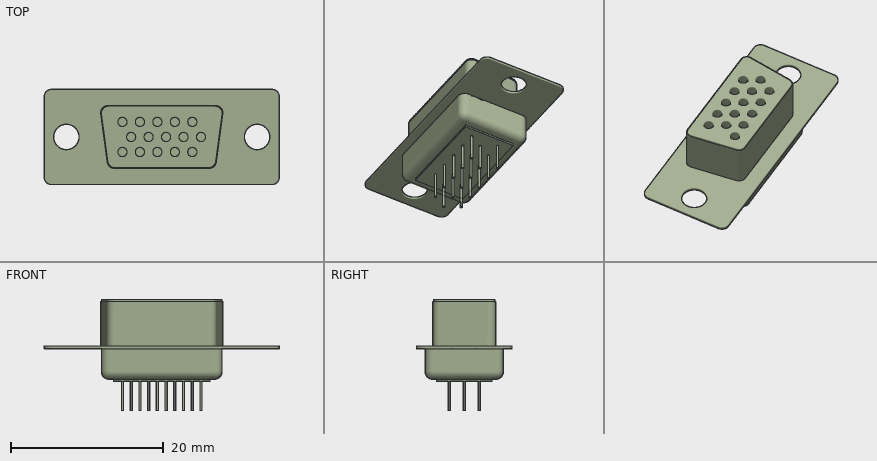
import cadquery as cq


flange_length = 30.8
flange_width = 12.5
flange_thickness = 0.4
flange_corner_radius = 1.0
mount_hole_diameter = 3.3
mount_hole_spacing = 24.98

edge_round = 0.1

shroud_height = 5.82
shroud_wall = 0.105
shroud_corner_radius = 1.0
shroud_wide_flat = 14.05
shroud_narrow_flat = 12.35
shroud_depth = 8.25

box_length = 15.8
box_width = 10.25
box_height = 3.97
box_corner_radius = 1.02
box_rim_radius = 1.0

insulator_protrusion = 0.28
plug_length = 12.7
plug_width = 7.3
plug_protrusion = 0.28

contacts_per_row = 5
contact_row_length = 9.15
contact_pitch = contact_row_length / (contacts_per_row - 1)
row_pitch = 1.97
row_shift = contact_pitch / 4
socket_diameter = 1.2
pin_diameter = 0.3
pin_length = 3.82

shroud_top = flange_thickness + shroud_height
insulator_top = shroud_top + insulator_protrusion
plug_bottom = -(box_height + plug_protrusion)
socket_depth = insulator_top - flange_thickness


def contact_points():
    """Centres of all the contacts in the XY plane."""
    rows = [(-row_pitch, -row_shift), (0, row_shift), (row_pitch, -row_shift)]
    first_x = -contact_row_length / 2
    return [
        (first_x + column * contact_pitch + shift, y)
        for y, shift in rows
        for column in range(contacts_per_row)
    ]


def make_d_block(corner_radius, top):
    """D-shaped block from z = 0: a trapezoid of corner centres grown by the radius."""
    core_half_depth = shroud_depth / 2 - shroud_corner_radius
    return (
        cq.Workplane("XY")
        .polyline([
            (-shroud_narrow_flat / 2, -core_half_depth),
            (shroud_narrow_flat / 2, -core_half_depth),
            (shroud_wide_flat / 2, core_half_depth),
            (-shroud_wide_flat / 2, core_half_depth),
        ])
        .close()
        .offset2D(corner_radius, "arc")
        .extrude(top)
        .faces(">Z")
        .edges()
        .fillet(edge_round)
    )


def make_flange():
    """Thin plate with two mounting holes and every rim rounded."""
    half_spacing = mount_hole_spacing / 2
    return (
        cq.Workplane("XY")
        .rect(flange_length, flange_width)
        .extrude(flange_thickness)
        .edges("|Z")
        .fillet(flange_corner_radius)
        .faces(">Z")
        .workplane()
        .pushPoints([(-half_spacing, 0), (half_spacing, 0)])
        .hole(mount_hole_diameter)
        .faces("<Z or >Z")
        .edges()
        .fillet(edge_round)
    )


def make_rear_box():
    """Box with rounded vertical edges and a rounded lower rim."""
    return (
        cq.Workplane("XY")
        .rect(box_length, box_width)
        .extrude(-box_height)
        .edges("|Z")
        .fillet(box_corner_radius)
        .faces("<Z")
        .edges()
        .fillet(box_rim_radius)
    )


def make_insulator_core():
    """D-shaped block and the rectangular plug below it, without sockets or pins."""
    block = make_d_block(shroud_corner_radius - shroud_wall, insulator_top)
    plug = cq.Workplane("XY").rect(plug_length, plug_width).extrude(plug_bottom)
    return block.union(plug)


def make_shell():
    """Flange, shroud and rear box in one piece, hollowed to fit the insulator."""
    shroud = make_d_block(shroud_corner_radius, shroud_top)
    outside = make_flange().union(shroud).union(make_rear_box())
    return outside.cut(make_insulator_core())


def make_insulator():
    """Insulator core with a round-mouthed blind socket and a pin for each contact."""
    socket_radius = socket_diameter / 2
    sockets = (
        cq.Workplane("XY", origin=(0, 0, insulator_top))
        .pushPoints(contact_points())
        .circle(socket_radius)
        .extrude(-socket_depth)
    )
    drilled = make_insulator_core().cut(sockets)
    mouths = drilled.faces(">Z").edges(cq.selectors.RadiusNthSelector(0))
    rounded = mouths.fillet(edge_round)
    pins = (
        cq.Workplane("XY", origin=(0, 0, plug_bottom))
        .pushPoints(contact_points())
        .circle(pin_diameter / 2)
        .extrude(-pin_length)
    )
    return rounded.union(pins)


shell = make_shell().solids()
insulator = make_insulator().solids()

result = cq.Compound.makeCompound([shell.val(), insulator.val()])